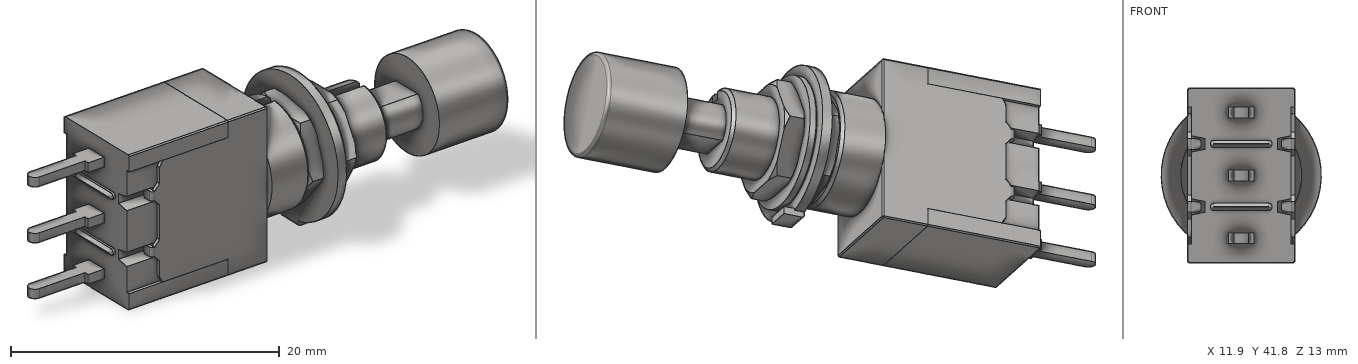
import cadquery as cq
import math


housing_width = 8.0
housing_height = 13.0
housing_length = 12.98
edge_chamfer = 0.105

pitch = 4.7
between_terminals = (pitch / 2, -pitch / 2)

sheet = 0.3
skirt_length = 3.73
plate_half_height = 5.1
plate_length = 10.15
plate_corner_length = 0.3
plate_corner_height = 0.5
tongue_width = 0.8
tongue_end = 10.9
tongue_depth = 1.0
tongue_bend_radius = 0.25
tongue_tip_chamfer = 0.15
tongue_flare = 0.5

slot_mouth_width = 1.2
slot_floor_width = 0.8
slot_depth = 1.3

rib_length = 4.6
rib_width = 0.55
rib_height = 0.45
rib_tip_chamfer = 0.25

bushing_diameter = 6.35
bushing_end = 11.95
bushing_chamfer = 0.25
collar_diameter = 9.0
collar_length = 3.6
collar_chamfer = 0.25
key_width = 0.88
key_floor_height = 2.25
key_end = 1.55

nut_across_flats = 7.85
nut_face_diameter = 8.2
nut_chamfer_angle = 30
inner_nut_thickness = 1.45
inner_nut_turn = 10
ring_diameter = 11.95
ring_thickness = 0.8
washer_diameter = 10.2
washer_thickness = 0.63
washer_chamfer = 0.13
outer_nut_thickness = 1.65

tab_width = 2.1
tab_bottom = -6.3
tab_thickness = 0.6
tab_length = 1.67
tab_bend_radius = 0.2

cap_diameter = 8.0
cap_start = 16.05
cap_end = 22.55
cap_fillet = 0.25
plunger_diameter = 3.98
plunger_flats = 2.95

terminal_thickness = 0.8
terminal_root_width = 1.9
terminal_root_length = 1.5
terminal_blade_width = 1.1
terminal_length = 6.3

base_front = -housing_length
tongue_start = tongue_end - sheet
inner_nut_start = collar_length
ring_start = inner_nut_start + inner_nut_thickness
washer_start = ring_start + ring_thickness
outer_nut_start = washer_start + washer_thickness


def block(x_range, y_range, z_range):
    """Box between the given limits."""
    size = [high - low for low, high in (x_range, y_range, z_range)]
    corner = (x_range[0], y_range[0], z_range[0])
    return cq.Workplane("XY").box(*size, centered=False).translate(corner)


def centered_block(width, y_range, height):
    """Box centred on the switch axis."""
    return block((-width / 2, width / 2), y_range, (-height / 2, height / 2))


def disc(diameter, start, end):
    """Cylinder on the switch axis from Y = start to Y = end."""
    return cq.Workplane("XZ", origin=(0, start, 0)).circle(diameter / 2).extrude(start - end)


def both_sides(left_part):
    """A part on the -X side together with its mirror image on the +X side."""
    return left_part.union(left_part.mirror("YZ"))


def make_envelope():
    """Outer shape of the assembled housing."""
    envelope = centered_block(housing_width, (base_front, 0), housing_height)
    return envelope.edges("|Y or >Y").chamfer(edge_chamfer)


def side_plate():
    """Side plate on the -X side, with a nose in its front edge at each tongue."""
    outline = [(0, plate_half_height)]
    outline.append((plate_corner_length - plate_length, plate_half_height))
    outline.append((-plate_length, plate_half_height - plate_corner_height))
    for center in between_terminals:
        nose = tongue_width / 2
        outline.append((-plate_length, center + nose + tongue_flare))
        outline.append((-tongue_start, center + nose))
        outline.append((-tongue_start, center - nose))
        outline.append((-plate_length, center - nose - tongue_flare))
    outline.append((-plate_length, plate_corner_height - plate_half_height))
    outline.append((plate_corner_length - plate_length, -plate_half_height))
    outline.append((0, -plate_half_height))
    return cq.Workplane("YZ", origin=(-housing_width / 2, 0, 0)).polyline(outline).close().extrude(sheet)


def tongue(center_z):
    """Tongue bent from the -X side plate into a slot of the base."""
    left = -housing_width / 2
    z_range = (center_z - tongue_width / 2, center_z + tongue_width / 2)
    leg = block((left, left + tongue_depth), (-tongue_end, -tongue_start), z_range)
    leg = leg.edges("|Z and <X and <Y").fillet(tongue_bend_radius)
    return leg.edges("|Y and >X").chamfer(tongue_tip_chamfer)


def keyway():
    """Flat-bottomed groove along the top of the bushing and the collar."""
    half = key_width / 2
    return block((-half, half), (key_end, bushing_end), (key_floor_height, collar_diameter))


def make_frame(envelope):
    """Frame with the collar and the threaded bushing."""
    inside = centered_block(
        housing_width - 2 * sheet, (-skirt_length, -sheet), housing_height - 2 * sheet
    )
    skirt = centered_block(housing_width, (-skirt_length, 0), housing_height).cut(inside)
    sides = side_plate()
    for center_z in between_terminals:
        sides = sides.union(tongue(center_z))
    cup = skirt.union(both_sides(sides)).intersect(envelope)

    collar = disc(collar_diameter, 0, collar_length).faces(">Y").chamfer(collar_chamfer)
    bushing = disc(bushing_diameter, 0, bushing_end).faces(">Y").chamfer(bushing_chamfer)
    return cup.union(collar).union(bushing).cut(keyway())


def clip_slot(center_z):
    """Slot in the -X side of the base, open to the front and narrowing from its mouth to its floor."""
    mouth_x = sheet - housing_width / 2
    floor_x = slot_depth - housing_width / 2
    mouth = slot_mouth_width / 2
    floor = slot_floor_width / 2
    outline = [(mouth_x, mouth), (floor_x, floor), (floor_x, -floor), (mouth_x, -mouth)]
    profile = cq.Workplane("XZ", origin=(0, -tongue_start, center_z)).polyline(outline).close()
    return profile.extrude(housing_length - tongue_start)


def barrier_rib(center_z):
    """Low round-ended rib on the front of the base, with a bevelled tip."""
    rib = cq.Workplane("XZ", origin=(0, base_front, center_z)).slot2D(rib_length, rib_width)
    return rib.extrude(rib_height).faces("<Y").chamfer(rib_tip_chamfer)


def make_base(envelope, frame):
    """Plastic base that fills the frame."""
    left = -housing_width / 2
    relief = block(
        (left, left + sheet), (base_front, -skirt_length), (-plate_half_height, plate_half_height)
    )
    base = envelope.cut(frame).cut(both_sides(relief))
    for center_z in between_terminals:
        base = base.cut(both_sides(clip_slot(center_z)))
        base = base.union(barrier_rib(center_z))
    return base


def make_nut(start, thickness, turn):
    """Hexagon nut chamfered on both faces, turned by the given degrees from flats at top and bottom."""
    corner_diameter = nut_across_flats / math.cos(math.pi / 6)
    hexagon = cq.Workplane("XZ").polygon(6, corner_diameter).extrude(-thickness)
    hexagon = hexagon.rotate((0, 0, 0), (0, 1, 0), turn).translate((0, start, 0))
    chamfer_width = (corner_diameter - nut_face_diameter) / 2
    chamfer_height = chamfer_width * math.tan(math.radians(nut_chamfer_angle))
    end = start + thickness
    blank = (
        cq.Workplane("XY")
        .moveTo(0, start)
        .lineTo(nut_face_diameter / 2, start)
        .lineTo(corner_diameter / 2, start + chamfer_height)
        .lineTo(corner_diameter / 2, end - chamfer_height)
        .lineTo(nut_face_diameter / 2, end)
        .lineTo(0, end)
        .close()
        .revolve(360, (0, 0, 0), (0, 1, 0))
    )
    return hexagon.intersect(blank).cut(disc(bushing_diameter, start, end))


def make_locking_ring():
    """Flat ring whose bottom tab is bent toward the button."""
    half = tab_width / 2
    tab_top = tab_bottom + tab_thickness
    ring = disc(ring_diameter, ring_start, washer_start)
    neck = block((-half, half), (ring_start, washer_start), (tab_bottom, 0))
    tab = block((-half, half), (ring_start, ring_start + tab_length), (tab_bottom, tab_top))
    bent = neck.union(tab).edges("|X and <Y and <Z").fillet(tab_bend_radius)
    return ring.union(bent).cut(disc(bushing_diameter, ring_start, washer_start))


def make_washer():
    """Plain washer with a small chamfer toward the locking ring."""
    washer = disc(washer_diameter, washer_start, outer_nut_start).faces("<Y").chamfer(washer_chamfer)
    return washer.cut(disc(bushing_diameter, washer_start, outer_nut_start))


def make_button():
    """Round cap and the plunger with flats at top and bottom."""
    cap = disc(cap_diameter, cap_start, cap_end).faces(">Y").edges().fillet(cap_fillet)
    plunger = disc(plunger_diameter, bushing_end, cap_start)
    flats = centered_block(plunger_diameter, (bushing_end, cap_start), plunger_flats)
    return cap.union(plunger.intersect(flats))


def make_terminal(center_z):
    """Flat solder pin with a wide root and a round tip."""
    root = terminal_root_width / 2
    blade = terminal_blade_width / 2
    shoulder = base_front - terminal_root_length
    tip = base_front - terminal_length
    return (
        cq.Workplane("XY", origin=(0, 0, center_z - terminal_thickness / 2))
        .moveTo(-root, base_front)
        .lineTo(-root, shoulder)
        .lineTo(-blade, shoulder)
        .lineTo(-blade, tip + blade)
        .threePointArc((0, tip), (blade, tip + blade))
        .lineTo(blade, shoulder)
        .lineTo(root, shoulder)
        .lineTo(root, base_front)
        .close()
        .extrude(terminal_thickness)
    )


envelope = make_envelope()
frame = make_frame(envelope)
base = make_base(envelope, frame)
inner_nut = make_nut(inner_nut_start, inner_nut_thickness, inner_nut_turn)
locking_ring = make_locking_ring()
washer = make_washer()
outer_nut = make_nut(outer_nut_start, outer_nut_thickness, 0)
button = make_button()
terminals = [make_terminal(row * pitch) for row in (-1, 0, 1)]

bodies = [frame, base, inner_nut, locking_ring, washer, outer_nut, button, *terminals]
result = cq.Compound.makeCompound([body.val() for body in bodies])